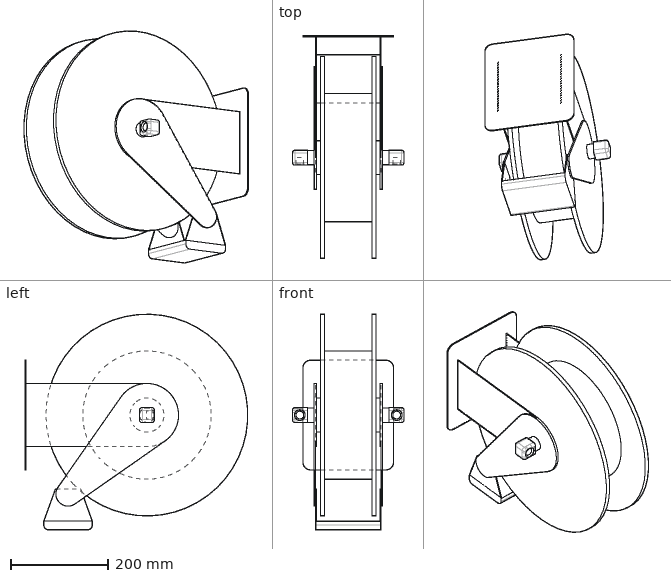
import cadquery as cq
import math


flange_diameter = 415.0
drum_diameter = 264.0
flange_outer_x = 57.5
flange_thickness = 9.0
hub_diameter = 70.0

sheet_thickness = 2.0
frame_inner_x = 65.0
frame_outer_x = frame_inner_x + sheet_thickness
arm_thickness = 3.0

overall_depth = 458.5
plate_back_y = overall_depth - flange_diameter / 2
plate_thickness = 2.5
plate_width = 187.0
plate_height = 226.0
plate_corner_radius = 16.5
bracket_radius = 65.0

arm_big_radius = bracket_radius
arm_small_radius = 25.0
arm_length = 229.25
arm_angle = math.radians(-45)
arm_end_y = arm_length * math.cos(arm_angle)
arm_end_z = arm_length * math.sin(arm_angle)

overall_height = 443.5
foot_bottom_z = flange_diameter / 2 - overall_height
foot_width = 100.0
foot_block_height = 18.0
foot_plate_height = 84.5
foot_top_width = 52.0
foot_corner_radius = 10.0

overall_width = 230.0
shaft_diameter = 30.0
connector_size = 31.0
connector_fillet = 6.0
connector_outer_x = overall_width / 2
connector_center_x = connector_outer_x - connector_size / 2
port_diameter = 16.0
port_depth = 16.0
port_chamfer = 3.0


def x_cylinder(diameter, x_start, x_end):
    """Cylinder on the reel axis between two X positions."""
    return cq.Workplane("YZ", origin=(x_start, 0, 0)).circle(diameter / 2).extrude(x_end - x_start)


def make_drum():
    drum = x_cylinder(drum_diameter, -flange_outer_x, flange_outer_x)
    flange = x_cylinder(flange_diameter, flange_outer_x - flange_thickness, flange_outer_x)
    hub = x_cylinder(hub_diameter, -frame_inner_x, frame_inner_x)
    return drum.union(flange).union(flange.mirror("YZ")).union(hub)


def make_wall_plate():
    plate = cq.Workplane("XY").box(plate_width, plate_thickness, plate_height)
    plate = plate.edges("|Y").fillet(plate_corner_radius)
    return plate.translate((0, plate_back_y - plate_thickness / 2, 0))


def make_bracket():
    """Flat side bracket from the wall plate, rounded about the reel axis."""
    return (
        cq.Workplane("YZ", origin=(frame_inner_x, 0, 0))
        .moveTo(plate_back_y - plate_thickness, bracket_radius)
        .lineTo(0, bracket_radius)
        .threePointArc((-bracket_radius, 0), (0, -bracket_radius))
        .lineTo(plate_back_y - plate_thickness, -bracket_radius)
        .close()
        .extrude(sheet_thickness)
    )


def make_arm():
    """Tapered link whose straight sides are tangent to both round ends."""
    tangent_angle = math.acos((arm_big_radius - arm_small_radius) / arm_length)

    def rim_point(center_y, center_z, radius, angle):
        return (center_y + radius * math.cos(angle), center_z + radius * math.sin(angle))

    upper = arm_angle + tangent_angle
    lower = arm_angle - tangent_angle
    return (
        cq.Workplane("YZ", origin=(frame_outer_x, 0, 0))
        .moveTo(*rim_point(0, 0, arm_big_radius, upper))
        .threePointArc(
            rim_point(0, 0, arm_big_radius, arm_angle + math.pi),
            rim_point(0, 0, arm_big_radius, lower),
        )
        .lineTo(*rim_point(arm_end_y, arm_end_z, arm_small_radius, lower))
        .threePointArc(
            rim_point(arm_end_y, arm_end_z, arm_small_radius, arm_angle),
            rim_point(arm_end_y, arm_end_z, arm_small_radius, upper),
        )
        .close()
        .extrude(arm_thickness)
    )


def make_foot():
    """Solid bar with rounded lower edges, closed by a trapezoidal plate at each end."""
    block = (
        cq.Workplane("XY")
        .box(2 * frame_outer_x, foot_width, foot_block_height, centered=(True, True, False))
        .edges("|X and <Z")
        .fillet(foot_corner_radius)
        .translate((0, arm_end_y, foot_bottom_z))
    )
    block_top_z = foot_bottom_z + foot_block_height
    plate_top_z = foot_bottom_z + foot_plate_height
    end_plate = (
        cq.Workplane("YZ", origin=(frame_inner_x, 0, 0))
        .moveTo(arm_end_y - foot_width / 2, block_top_z)
        .lineTo(arm_end_y + foot_width / 2, block_top_z)
        .lineTo(arm_end_y + foot_top_width / 2, plate_top_z)
        .lineTo(arm_end_y - foot_top_width / 2, plate_top_z)
        .close()
        .extrude(sheet_thickness)
    )
    return block.union(end_plate).union(end_plate.mirror("YZ"))


def make_connector():
    """Shaft end carrying a rounded cube with a chamfered port facing -Y."""
    inner_x = connector_outer_x - connector_size
    stub = x_cylinder(shaft_diameter, frame_inner_x, inner_x)
    cube = cq.Workplane("XY").box(connector_size, connector_size, connector_size)
    front_y = -connector_size / 2
    port_plane = cq.Plane(origin=(0, front_y, 0), xDir=(-1, 0, 0), normal=(0, 1, 0))
    port = cq.Workplane(port_plane).circle(port_diameter / 2).extrude(port_depth)
    cube = cube.cut(port)
    cube = cube.faces("<Y").edges("%CIRCLE").chamfer(port_chamfer)
    cube = cube.edges("|X or |Y or |Z").edges("not <X").fillet(connector_fillet)
    return stub.union(cube.translate((connector_center_x, 0, 0)))


result = make_drum().union(make_wall_plate()).union(make_foot())
for make_side_part in (make_bracket, make_arm, make_connector):
    side_part = make_side_part()
    result = result.union(side_part).union(side_part.mirror("YZ"))